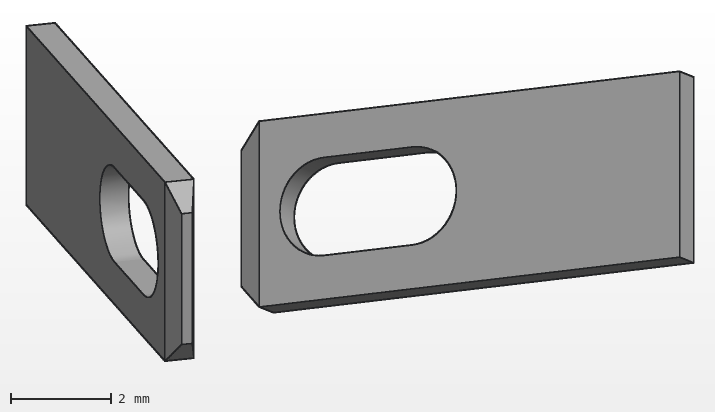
import cadquery as cq

length = 10.06
thickness = 0.6
height = 3.8

tip_length = 0.51
tip_corner_drop = 0.51
tip_thickness = 0.22

slot_width = 2.0
slot_length = 2 * slot_width
slot_end_gap = 0.99
slot_center_x = length - slot_end_gap - slot_length / 2


def side_profile():
    """Plate outline in XZ, with cut corners at the tip, through the thickness."""
    shoulder_x = length - tip_length
    half_height = height / 2
    tip_half_height = half_height - tip_corner_drop
    return (
        cq.Workplane("XZ")
        .moveTo(0, -half_height)
        .lineTo(shoulder_x, -half_height)
        .lineTo(length, -tip_half_height)
        .lineTo(length, tip_half_height)
        .lineTo(shoulder_x, half_height)
        .lineTo(0, half_height)
        .close()
        .extrude(thickness / 2, both=True)
    )


def edge_profile():
    """Plate outline in XY, thinning towards the tip, through the height."""
    shoulder_x = length - tip_length
    half_thickness = thickness / 2
    tip_half_thickness = tip_thickness / 2
    return (
        cq.Workplane("XY")
        .moveTo(0, -half_thickness)
        .lineTo(shoulder_x, -half_thickness)
        .lineTo(length, -tip_half_thickness)
        .lineTo(length, tip_half_thickness)
        .lineTo(shoulder_x, half_thickness)
        .lineTo(0, half_thickness)
        .close()
        .extrude(height / 2, both=True)
    )


def slot():
    return (
        cq.Workplane("XZ")
        .center(slot_center_x, 0)
        .slot2D(slot_length, slot_width)
        .extrude(thickness, both=True)
    )


result = side_profile().intersect(edge_profile()).cut(slot())